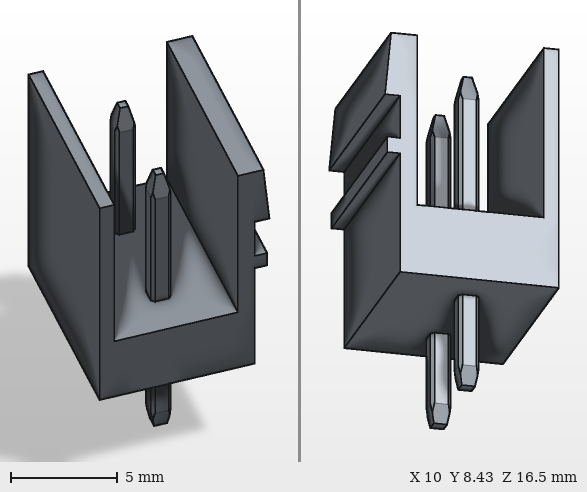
import cadquery as cq

overall_height = 16.5
housing_length = 10.0
housing_height = 12.01
housing_depth = 7.7
floor_thickness = 3.46
front_wall = 0.73
back_wall = 0.84

hook_depth = 8.43
hook_top_depth = 8.13
hook_height = 3.14
ridge_depth = 8.32
ridge_bottom = 5.97
ridge_height = 0.78

pin_pitch = 5.0
pin_y = 3.8
pin_width = 1.0
pin_edge_chamfer = 0.16
pin_tail = overall_height - housing_height
pin_top_gap = 0.9
top_taper = 1.22
top_tip_width = 0.41
bottom_taper = 0.95
bottom_tip_width = 0.65

pin_bottom = -pin_tail
pin_top = housing_height - pin_top_gap
pin_positions = [-pin_pitch / 2, pin_pitch / 2]


def make_pin_bar(x):
    """Chamfered bar over the full pin length, before its ends are tapered."""
    return (
        cq.Workplane("XY", origin=(x, pin_y, pin_bottom))
        .rect(pin_width, pin_width)
        .extrude(pin_top - pin_bottom)
        .edges("|Z")
        .chamfer(pin_edge_chamfer)
    )


def make_taper(x, start_z, start_width, end_width, height):
    """Square frustum standing on start_z."""
    return (
        cq.Workplane("XY", origin=(x, pin_y, start_z))
        .rect(start_width, start_width)
        .workplane(offset=height)
        .rect(end_width, end_width)
        .loft(ruled=True)
    )


def make_pin(x):
    """Chamfered bar trimmed to a square envelope that narrows at both ends."""
    shank_bottom = pin_bottom + bottom_taper
    shank_top = pin_top - top_taper
    envelope = (
        cq.Workplane("XY", origin=(x, pin_y, shank_bottom))
        .rect(pin_width, pin_width)
        .extrude(shank_top - shank_bottom)
        .union(make_taper(x, pin_bottom, bottom_tip_width, pin_width, bottom_taper))
        .union(make_taper(x, shank_top, pin_width, top_tip_width, top_taper))
    )
    return make_pin_bar(x).intersect(envelope).solids()


def make_housing():
    """Open-ended U channel with a latch hook, a ridge and through holes for the pins."""
    back_wall_inner = housing_depth - back_wall
    hook_bottom = housing_height - hook_height
    ridge_top = ridge_bottom + ridge_height
    profile = [
        (0, 0),
        (housing_depth, 0),
        (housing_depth, ridge_bottom),
        (ridge_depth, ridge_bottom),
        (ridge_depth, ridge_top),
        (housing_depth, ridge_top),
        (housing_depth, hook_bottom),
        (hook_depth, hook_bottom),
        (hook_top_depth, housing_height),
        (back_wall_inner, housing_height),
        (back_wall_inner, floor_thickness),
        (front_wall, floor_thickness),
        (front_wall, housing_height),
        (0, housing_height),
    ]
    body = (
        cq.Workplane("YZ", origin=(-housing_length / 2, 0, 0))
        .polyline(profile)
        .close()
        .extrude(housing_length)
    )
    for x in pin_positions:
        body = body.cut(make_pin_bar(x))
    return body.solids()


housing = make_housing()
pins = [make_pin(x) for x in pin_positions]
result = cq.Compound.makeCompound([housing.val(), *[pin.val() for pin in pins]])